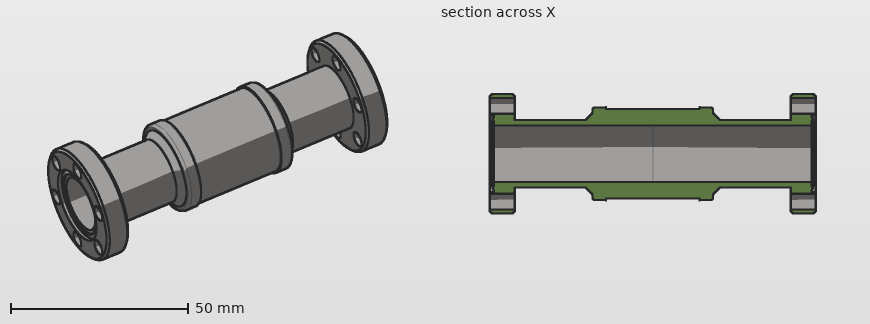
import cadquery as cq

LENGTH = 91.92
BORE_RADIUS = 7.95

FLANGE_RADIUS = 16.905
FLANGE_THICKNESS = 7.1
FLANGE_CHAMFER = 0.7

RECESS_RADIUS = 10.7
RECESS_DEPTH = 1.2
KNIFE_RADIUS = 9.15
KNIFE_DEPTH = 0.6

BOLT_COUNT = 6
FIRST_BOLT_ANGLE = 90
BOLT_CIRCLE_RADIUS = 13.5
BOLT_HOLE_DIAMETER = 4.4

NECK_RADIUS = 9.53
NECK_TAPER = 2.0

BODY_RADIUS = 12.7
COLLAR_RADIUS = 13.15
COLLAR_FILLET = 0.8
COLLAR_LENGTH = 3.9
BODY_LENGTH = 34.1

HALF_LENGTH = LENGTH / 2
FLANGE_BACK = HALF_LENGTH - FLANGE_THICKNESS
COLLAR_OUTER = BODY_LENGTH / 2
COLLAR_INNER = COLLAR_OUTER - COLLAR_LENGTH


def end_blank():
    """Revolve the solid +Y end: collar, neck and flange, with the seal recess in its face."""
    profile = (
        cq.Workplane("XY")
        .moveTo(0, COLLAR_INNER)
        .lineTo(COLLAR_RADIUS, COLLAR_INNER)
        .lineTo(COLLAR_RADIUS, COLLAR_OUTER - COLLAR_FILLET)
        .radiusArc((COLLAR_RADIUS - COLLAR_FILLET, COLLAR_OUTER), -COLLAR_FILLET)
        .lineTo(NECK_RADIUS + NECK_TAPER, COLLAR_OUTER)
        .lineTo(NECK_RADIUS, COLLAR_OUTER + NECK_TAPER)
        .lineTo(NECK_RADIUS, FLANGE_BACK)
        .lineTo(FLANGE_RADIUS - FLANGE_CHAMFER, FLANGE_BACK)
        .lineTo(FLANGE_RADIUS, FLANGE_BACK + FLANGE_CHAMFER)
        .lineTo(FLANGE_RADIUS, HALF_LENGTH - FLANGE_CHAMFER)
        .lineTo(FLANGE_RADIUS - FLANGE_CHAMFER, HALF_LENGTH)
        .lineTo(RECESS_RADIUS, HALF_LENGTH)
        .lineTo(RECESS_RADIUS, HALF_LENGTH - RECESS_DEPTH)
        .lineTo(KNIFE_RADIUS, HALF_LENGTH - KNIFE_DEPTH)
        .lineTo(KNIFE_RADIUS, HALF_LENGTH - RECESS_DEPTH)
        .lineTo(0, HALF_LENGTH - RECESS_DEPTH)
        .close()
    )
    return profile.revolve(360, (0, 0, 0), (0, 1, 0))


def centred_cylinder(radius, length):
    """Cylinder along Y, centred on the origin."""
    return cq.Workplane("XZ").circle(radius).extrude(length / 2, both=True)


def bolt_holes():
    """Cylinders parallel to the axis, with the first hole straight above it."""
    return (
        cq.Workplane("XZ")
        .polarArray(BOLT_CIRCLE_RADIUS, FIRST_BOLT_ANGLE, 360, BOLT_COUNT)
        .circle(BOLT_HOLE_DIAMETER / 2)
        .extrude(-FLANGE_THICKNESS)
        .translate((0, FLANGE_BACK, 0))
    )


flanged_end = end_blank().cut(bolt_holes())
body = centred_cylinder(BODY_RADIUS, 2 * COLLAR_INNER)
bore = centred_cylinder(BORE_RADIUS, LENGTH)

result = body.union(flanged_end).union(flanged_end.mirror("XZ")).cut(bore)